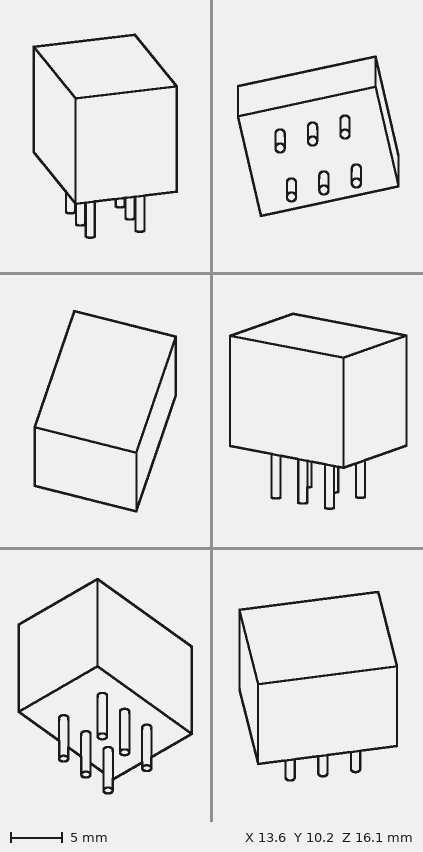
import cadquery as cq

housing_length = 13.6
housing_width = 10.2
overall_height = 16.1

pin_length = 5.1
pin_diameter = 0.9
pin_pitch = 3.2
row_spacing = 5.0
pins_per_row = 3
row_count = 2

housing_height = overall_height - pin_length


def make_housing():
    """Plain block whose underside lies on Z = 0."""
    return cq.Workplane("XY").box(
        housing_length, housing_width, housing_height, centered=(True, True, False)
    )


def make_pin(x, y):
    """Round pin hanging from the underside of the housing."""
    return cq.Workplane("XY").center(x, y).circle(pin_diameter / 2).extrude(-pin_length)


housing = make_housing()

pins = []
for row in range(row_count):
    pin_y = (row - (row_count - 1) / 2) * row_spacing
    for column in range(pins_per_row):
        pin_x = (column - (pins_per_row - 1) / 2) * pin_pitch
        pins.append(make_pin(pin_x, pin_y))

result = cq.Compound.makeCompound([housing.val(), *[pin.val() for pin in pins]])